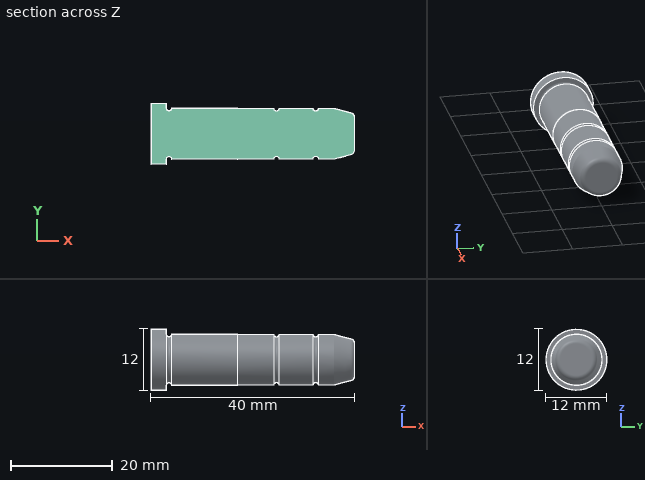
import cadquery as cq
import math

length = 40.0
head_radius = 6.0
head_length = 3.0
shank_radius = 5.05
guide_radius = 5.0
shank_end = 17.0

groove_width = 1.0
groove_radius = groove_width / 2
groove_starts = [head_length, 24.1, 31.85]

taper_start = 36.0
taper_angle = 15.0
nose_fillet = 1.0
nose_radius = guide_radius - (length - taper_start) * math.tan(math.radians(taper_angle))


def cylinder(start, end, radius):
    return cq.Workplane("YZ", origin=(start, 0, 0)).circle(radius).extrude(end - start)


def groove_ring(center, surface_radius):
    """Torus that cuts a semicircular groove into a cylinder."""
    return (
        cq.Workplane("XY")
        .center(center, surface_radius)
        .circle(groove_radius)
        .revolve(360, (-center, -surface_radius, 0), (0.4 - center, -surface_radius, 0))
    )


nose = (
    cq.Workplane("XY")
    .moveTo(taper_start, 0)
    .lineTo(taper_start, guide_radius)
    .lineTo(length, nose_radius)
    .lineTo(length, 0)
    .close()
    .revolve(360, (0, 0, 0), (1, 0, 0))
    .faces(">X")
    .edges()
    .fillet(nose_fillet)
)

result = (
    cylinder(0, head_length, head_radius)
    .union(cylinder(head_length, shank_end, shank_radius))
    .union(cylinder(shank_end, taper_start, guide_radius))
    .union(nose)
)

for start in groove_starts:
    center = start + groove_radius
    surface_radius = shank_radius if center < shank_end else guide_radius
    result = result.cut(groove_ring(center, surface_radius))